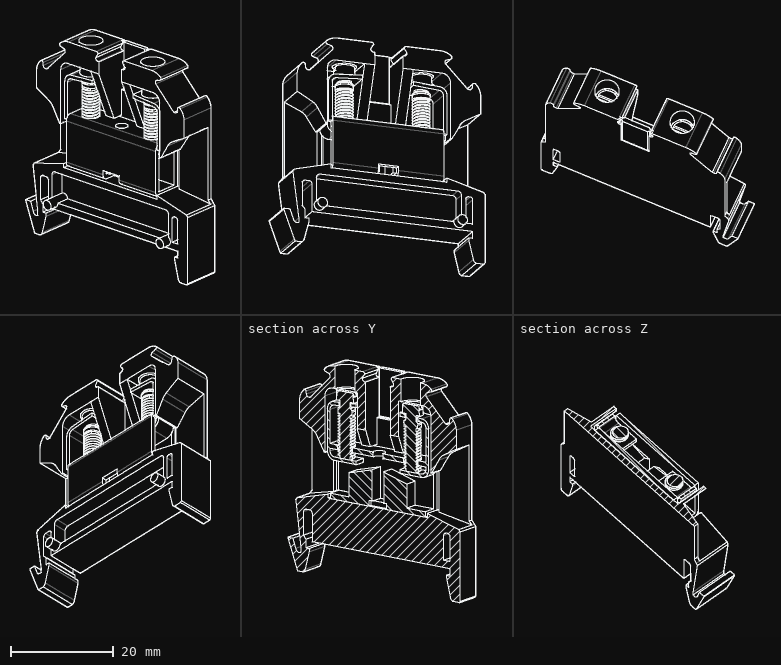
import cadquery as cq
import math


height = 42.8
depth = 8.0
side_x = 19.1
foot_corner_z = 14.75
foot_corner_x = 19.7
rail_z = 6.45

pocket_x = 12.8
pocket_top = 38.2
pocket_floor_y = 6.65
pocket_radius = 1.8
shoulder_z = 16.78
ledge_x = 12.03

funnel_outer_y = 7.05
funnel_inner_y = 5.65
jaw_top = 30.8
jaw_tip_x = 13.1
jaw_tip_z = 25.0

slot_x = 2.95
catch_x = 3.75
leg_x = 5.05
leg_bottom = 27.45
leg_toe_y = 4.5
panel_front = 7.05
panel_bottom = 32.83
panel_bevel = 0.3

foot_pocket_x = 15.05
foot_pocket_bottom = 8.0
foot_pocket_top = 14.4
foot_pocket_depth = 2.9
foot_pocket_radius = 0.75
pin_diameter = 2.0
pin_x = 14.55
pin_z = 7.9
pin_length = 2.0

sleeve_x = 11.55
sleeve_bottom = 15.95
sleeve_top = 27.05
sleeve_front = 0.2
sleeve_wall = 1.0
sleeve_plate = 1.05
sleeve_bend = 1.2
axis_y = (sleeve_front + pocket_floor_y) / 2
centre_hole = 2.45
notch_x = 2.05
notch_top = 18.0
stop_gap_x = 1.35
stop_end_x = 7.05
stop_clearance = 0.25
stop_shoulder = 21.85
stop_top = 23.4
stop_chamfer = 1.33

strip = 0.75
guard_width = 5.55
tongue_width = 4.02
guard_tip_x = 5.3
guard_tip_z = 36.0
guard_bend_x = 10.7
guard_bend_z = 35.6
guard_leg_top = 33.9
guard_hole = 2.85
tongue_bend_top = 25.5
tongue_radius = 1.8

screw_x = 8.0
screw_hole = 4.7
head_bottom_diameter = 4.35
head_top_diameter = 4.02
head_bottom = guard_tip_z
head_top = 38.05
slot_width = 0.8
slot_depth = 0.85
collar_diameter = 3.6
collar_bottom = 34.15
collar_rim = 34.45
collar_top = 34.85
neck_diameter = 2.75
shank_diameter = 3.5
thread_top = 33.4
thread_root = 2.75
thread_pitch = 0.6


def block(x0, x1, y0, y1, z0, z1):
    return cq.Workplane("XY").box(x1 - x0, y1 - y0, z1 - z0, centered=False).translate((x0, y0, z0))


def along_y(sketch, y0, y1):
    """Extrude a closed XZ outline from y0 to y1."""
    return sketch.extrude(-(y1 - y0)).translate((0, y0, 0))


def upright_hole(x, diameter, z0, z1):
    """Vertical cylinder on the screw axis plane, used as a cutter."""
    return cq.Workplane("XY", origin=(x, axis_y, z0)).circle(diameter / 2).extrude(z1 - z0)


def mirror_x(part):
    return part.mirror("YZ")


def housing_blank():
    outline = (
        cq.Workplane("XZ")
        .moveTo(-10.8, height)
        .lineTo(10.8, height)
        .threePointArc((11.95, 42.6), (13.0, 41.95))
        .threePointArc((13.1, 41.6), (12.85, 41.3))
        .lineTo(12.0, 41.05)
        .threePointArc((11.7, 40.65), (11.75, 40.25))
        .lineTo(16.45, 35.52)
        .lineTo(16.78, 35.52)
        .threePointArc((17.15, 35.7), (17.35, 36.05))
        .lineTo(17.38, 36.65)
        .threePointArc((17.7, 36.95), (18.1, 36.75))
        .threePointArc((18.8, 35.82), (side_x, 34.7))
        .lineTo(side_x, 15.5)
        .lineTo(foot_corner_x, foot_corner_z)
        .lineTo(20.05, 14.35)
        .lineTo(20.05, 0.35)
        .lineTo(19.77, 0)
        .lineTo(18.15, 0)
        .threePointArc((17.75, 0.25), (17.55, 0.7))
        .lineTo(16.6, 4.55)
        .lineTo(16.6, 5.05)
        .lineTo(17.4, 5.05)
        .lineTo(17.4, rail_z)
        .lineTo(-16.0, rail_z)
        .lineTo(-16.0, 12.25)
        .threePointArc((-16.18, 12.6), (-16.5, 12.75))
        .lineTo(-17.5, 12.75)
        .threePointArc((-17.85, 12.6), (-18.0, 12.25))
        .lineTo(-18.0, 7.5)
        .lineTo(-17.4, 6.75)
        .lineTo(-17.4, 5.05)
        .lineTo(-16.6, 5.05)
        .lineTo(-16.6, 4.35)
        .lineTo(-17.6, 0.7)
        .threePointArc((-17.8, 0.25), (-18.15, 0))
        .lineTo(-19.5, 0)
        .lineTo(-19.7, 0.35)
        .lineTo(-21.85, 6.25)
        .lineTo(-21.85, rail_z)
        .lineTo(-20.6, rail_z)
        .lineTo(-19.9, 4.55)
        .threePointArc((-19.4, 3.9), (-18.75, 3.95))
        .lineTo(-18.75, 4.85)
        .lineTo(-20.0, 14.35)
        .lineTo(-foot_corner_x, foot_corner_z)
        .lineTo(-side_x, 15.5)
        .lineTo(-side_x, 34.7)
        .threePointArc((-18.8, 35.82), (-18.1, 36.75))
        .threePointArc((-17.7, 36.95), (-17.38, 36.65))
        .lineTo(-17.35, 36.05)
        .threePointArc((-17.15, 35.7), (-16.78, 35.52))
        .lineTo(-16.45, 35.52)
        .lineTo(-11.75, 40.25)
        .threePointArc((-11.7, 40.65), (-12.0, 41.05))
        .lineTo(-12.85, 41.3)
        .threePointArc((-13.1, 41.6), (-13.0, 41.95))
        .threePointArc((-11.95, 42.6), (-10.8, height))
        .close()
    )
    return along_y(outline, 0, depth)


def shoulder_height(x):
    """Height of the foot's sloping shoulder at distance x from the middle."""
    slope = (shoulder_z - foot_corner_z) / (foot_corner_x - ledge_x)
    return shoulder_z - slope * (x - ledge_x)


def terminal_pocket():
    main = along_y(
        cq.Workplane("XZ").polyline([
            (-pocket_x, pocket_top),
            (pocket_x, pocket_top),
            (pocket_x, shoulder_height(pocket_x)),
            (ledge_x, shoulder_z),
            (ledge_x, sleeve_bottom),
            (-ledge_x, sleeve_bottom),
            (-ledge_x, shoulder_z),
            (-pocket_x, shoulder_height(pocket_x)),
        ]).close(),
        0,
        pocket_floor_y,
    )
    return main.edges("|Y and >Z").fillet(pocket_radius)


def wire_funnel():
    """Right-hand funnel: opening below the jaw, with a floor that rises toward the sleeve."""
    outside_x = foot_corner_x + 0.85
    opening = along_y(
        cq.Workplane("XZ")
        .moveTo(pocket_x, shoulder_height(pocket_x))
        .lineTo(outside_x, shoulder_height(outside_x))
        .lineTo(outside_x, jaw_top)
        .lineTo(side_x, jaw_top)
        .lineTo(15.8, 29.0)
        .threePointArc((15.3, 28.6), (14.85, 28.0))
        .lineTo(jaw_tip_x, jaw_tip_z)
        .lineTo(pocket_x, jaw_tip_z)
        .close(),
        0,
        depth,
    )
    floor_slope = (funnel_outer_y - funnel_inner_y) / (side_x - pocket_x)
    plan = (
        cq.Workplane("XY")
        .moveTo(pocket_x, 0)
        .lineTo(outside_x, 0)
        .lineTo(outside_x, funnel_outer_y + floor_slope * (outside_x - side_x))
        .lineTo(pocket_x, funnel_inner_y)
        .close()
        .extrude(height)
    )
    return opening.intersect(plan)


def tower_gap():
    """Gap between the screw towers above the panel's foot, with a catch groove along each side."""
    right_half = (
        cq.Workplane("XZ")
        .moveTo(0, panel_bottom)
        .lineTo(slot_x, panel_bottom)
        .lineTo(slot_x, 40.8)
        .lineTo(3.15, 40.85)
        .threePointArc((3.6, 41.0), (catch_x, 41.45))
        .lineTo(3.15, 42.37)
        .threePointArc((3.3, 42.67), (3.6, height))
        .lineTo(0, height)
        .close()
    )
    half = along_y(right_half, 0, depth)
    return half.union(mirror_x(half))


def back_panel():
    """Break-out panel that closes the back of the gap, held by a thin web at each side."""
    panel = block(-slot_x, slot_x, panel_front, depth, panel_bottom, height + panel_bevel)
    panel = panel.faces("<Y or >Y").edges().chamfer(panel_bevel)
    web = block(
        -catch_x, catch_x, panel_front + panel_bevel, depth - panel_bevel, panel_bottom, height
    )
    above = block(-catch_x, catch_x, 0, depth, height, height + 0.43)
    return panel.cut(above).union(web)


def partition_leg():
    """Right-hand wedge below a screw tower, sloping back from the front edge."""
    return (
        cq.Workplane("YZ", origin=(slot_x, 0, 0))
        .moveTo(0, pocket_top)
        .lineTo(leg_toe_y, leg_bottom)
        .lineTo(pocket_floor_y, leg_bottom)
        .lineTo(pocket_floor_y, pocket_top)
        .close()
        .extrude(leg_x - slot_x)
    )


def foot_slot():
    slot = block(16.0, 17.4, 0, depth, foot_pocket_bottom, 13.5)
    return slot.edges("|Y and >Z").fillet(0.5)


def foot_pocket():
    pocket = block(-foot_pocket_x, foot_pocket_x, 0, foot_pocket_depth, foot_pocket_bottom, foot_pocket_top)
    return pocket.edges("|Y and >Z").fillet(foot_pocket_radius)


def locating_pin(x):
    circle = cq.Workplane("XZ").center(x, pin_z).circle(pin_diameter / 2)
    return along_y(circle, -pin_length, foot_pocket_depth)


def make_housing():
    body = housing_blank().cut(terminal_pocket())
    body = body.cut(wire_funnel()).cut(mirror_x(wire_funnel()))
    body = body.union(partition_leg()).union(mirror_x(partition_leg()))
    lower_slot = block(-slot_x, slot_x, 0, pocket_floor_y, leg_bottom, panel_bottom)
    body = body.cut(lower_slot).cut(tower_gap()).union(back_panel())
    body = body.cut(foot_slot()).cut(foot_pocket())
    for side in (-1, 1):
        tower_hole = upright_hole(side * screw_x, screw_hole, pocket_top, height)
        body = body.cut(tower_hole).union(locating_pin(side * pin_x))
    return body


def sleeve_tube():
    tube = block(-sleeve_x, sleeve_x, sleeve_front, pocket_floor_y, sleeve_bottom, sleeve_top)
    tube = tube.edges("|X and <Y").fillet(sleeve_bend)
    cavity = block(
        -sleeve_x,
        sleeve_x,
        sleeve_front + sleeve_wall,
        pocket_floor_y - sleeve_wall,
        sleeve_bottom + sleeve_plate,
        sleeve_top - sleeve_plate,
    )
    notch = block(-notch_x, notch_x, sleeve_front, sleeve_front + sleeve_wall, sleeve_bottom, notch_top)
    floor_slot = block(
        -notch_x, notch_x, sleeve_front, axis_y, sleeve_bottom, sleeve_bottom + sleeve_plate
    )
    return tube.cut(cavity).cut(notch).cut(floor_slot)


def wire_stop():
    """Right-hand ramp that rises toward the middle, chamfered along its top front edge."""
    front = sleeve_front + sleeve_wall + stop_clearance
    back = pocket_floor_y - sleeve_wall
    floor = sleeve_bottom + sleeve_plate
    ramp = along_y(
        cq.Workplane("XZ").polyline([
            (stop_gap_x, floor),
            (stop_end_x, floor),
            (stop_end_x, stop_shoulder),
            (stop_gap_x, stop_top),
        ]).close(),
        front,
        back,
    )
    section = (
        cq.Workplane("YZ", origin=(stop_gap_x, 0, 0))
        .polyline([
            (front, floor),
            (back, floor),
            (back, stop_top),
            (front + stop_chamfer, stop_top),
            (front, stop_shoulder),
        ])
        .close()
        .extrude(stop_end_x - stop_gap_x)
    )
    return ramp.intersect(section)


def wire_guard():
    """Right-hand bent strip: tilted plate over the sleeve, leg down its end, tongue turned in."""
    leg_out = sleeve_x + strip
    diagonal = math.sqrt(0.5)
    bend_x = leg_out - guard_bend_x
    bend_z = guard_bend_z - guard_leg_top
    plate_and_leg = along_y(
        cq.Workplane("XZ")
        .moveTo(guard_tip_x, guard_tip_z)
        .lineTo(guard_bend_x, guard_bend_z)
        .threePointArc(
            (guard_bend_x + bend_x * diagonal, guard_leg_top + bend_z * diagonal),
            (leg_out, guard_leg_top),
        )
        .lineTo(leg_out, sleeve_top - sleeve_plate)
        .lineTo(sleeve_x, sleeve_top - sleeve_plate)
        .lineTo(sleeve_x, guard_leg_top)
        .threePointArc(
            (guard_bend_x + (bend_x - strip) * diagonal, guard_leg_top + (bend_z - strip) * diagonal),
            (guard_bend_x, guard_bend_z - strip),
        )
        .lineTo(guard_tip_x, guard_tip_z - strip)
        .close(),
        axis_y - guard_width / 2,
        axis_y + guard_width / 2,
    )
    inner_radius = tongue_radius - strip
    centre_x = leg_out - tongue_radius
    tongue = along_y(
        cq.Workplane("XZ")
        .moveTo(leg_out, sleeve_top - sleeve_plate)
        .lineTo(leg_out, tongue_bend_top)
        .threePointArc(
            (centre_x + tongue_radius * diagonal, tongue_bend_top - tongue_radius * diagonal),
            (centre_x, tongue_bend_top - tongue_radius),
        )
        .lineTo(guard_tip_x, tongue_bend_top - tongue_radius)
        .lineTo(guard_tip_x, tongue_bend_top - inner_radius)
        .lineTo(centre_x, tongue_bend_top - inner_radius)
        .threePointArc(
            (centre_x + inner_radius * diagonal, tongue_bend_top - inner_radius * diagonal),
            (sleeve_x, tongue_bend_top),
        )
        .lineTo(sleeve_x, sleeve_top - sleeve_plate)
        .close(),
        axis_y - tongue_width / 2,
        axis_y + tongue_width / 2,
    )
    return plate_and_leg.union(tongue)


def make_sleeve():
    body = sleeve_tube().union(wire_stop()).union(mirror_x(wire_stop()))
    body = body.union(wire_guard()).union(mirror_x(wire_guard()))
    for x, diameter in ((-screw_x, shank_diameter), (0, centre_hole), (screw_x, shank_diameter)):
        body = body.cut(upright_hole(x, diameter, sleeve_top - sleeve_plate, sleeve_top))
    for x in (-screw_x, screw_x):
        body = body.cut(upright_hole(x, guard_hole, sleeve_top, head_top))
    return body


def thread_ridge(bottom, top):
    """Helical V ridge whose base is sunk slightly into the root cylinder."""
    root = thread_root / 2
    sink = 0.05
    half_base = 0.45 * thread_pitch
    half_crest = 0.05
    start = bottom + thread_pitch / 2
    turns_height = top - bottom - thread_pitch
    path = cq.Wire.makeHelix(thread_pitch, turns_height, root).translate(cq.Vector(0, 0, start))
    return (
        cq.Workplane("XZ")
        .moveTo(root - sink, start - half_base)
        .lineTo(shank_diameter / 2, start - half_crest)
        .lineTo(shank_diameter / 2, start + half_crest)
        .lineTo(root - sink, start + half_base)
        .close()
        .sweep(cq.Workplane(path), isFrenet=True)
    )


def make_screw(x):
    tip = tongue_bend_top - tongue_radius + strip
    turned = (
        cq.Workplane("XZ")
        .moveTo(0, tip)
        .lineTo(thread_root / 2, tip)
        .lineTo(thread_root / 2, thread_top)
        .lineTo(shank_diameter / 2, thread_top)
        .lineTo(shank_diameter / 2, collar_bottom)
        .lineTo(collar_diameter / 2, collar_bottom)
        .lineTo(collar_diameter / 2, collar_rim)
        .lineTo(neck_diameter / 2, collar_top)
        .lineTo(neck_diameter / 2, head_bottom)
        .lineTo(head_bottom_diameter / 2, head_bottom)
        .lineTo(head_top_diameter / 2, head_top)
        .lineTo(0, head_top)
        .close()
        .revolve(360, (0, 0, 0), (0, 1, 0))
    )
    reach = head_bottom_diameter / 2
    slot = block(-reach, reach, -slot_width / 2, slot_width / 2, head_top - slot_depth, head_top)
    return turned.cut(slot).union(thread_ridge(tip, thread_top)).translate((x, axis_y, 0))


housing = make_housing()
sleeve = make_sleeve()
screws = [make_screw(side * screw_x) for side in (-1, 1)]

result = cq.Compound.makeCompound([housing.val(), sleeve.val(), *[screw.val() for screw in screws]])